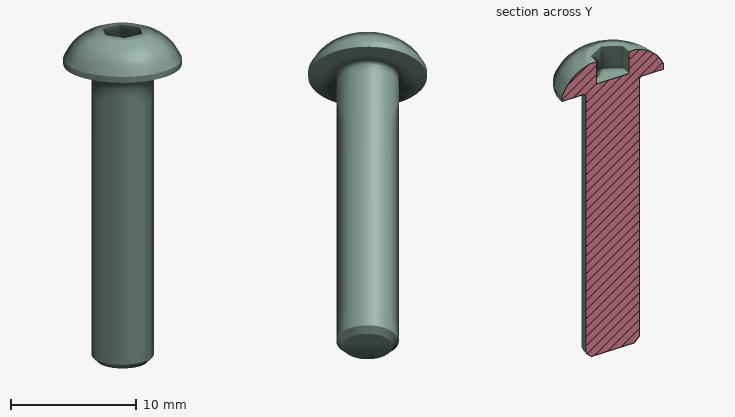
import cadquery as cq
import math

total_length = 27.75
head_height = 2.75
shank_length = total_length - head_height

head_radius = 9.5 / 2
rim_height = 0.5
crown_flat_radius = 4.33 / 2
dome_arc_radius = 3.83

shank_radius = 5.0 / 2
tip_chamfer = 0.5
neck_fillet = 0.25

socket_across_flats = 3.0
socket_depth = 2.08


def make_head():
    """Revolve the domed head with its short cylindrical rim."""
    return (
        cq.Workplane("XZ")
        .lineTo(head_radius, 0)
        .lineTo(head_radius, rim_height)
        .radiusArc((crown_flat_radius, head_height), -dome_arc_radius)
        .lineTo(0, head_height)
        .close()
        .revolve(360, (0, 0, 0), (0, 1, 0))
    )


def make_shank():
    """Make the plain shank with a chamfered tip."""
    shank = cq.Workplane("XY").circle(shank_radius).extrude(-shank_length)
    return shank.faces("<Z").chamfer(tip_chamfer)


def make_socket():
    """Make the socket cutter, with hexagon corners pointing along Y."""
    across_corners = socket_across_flats / math.cos(math.radians(30))
    return (
        cq.Workplane("XY", origin=(0, 0, head_height))
        .transformed(rotate=(0, 0, 90))
        .polygon(6, across_corners)
        .extrude(-socket_depth)
    )


screw = make_head().union(make_shank())

neck_edges = cq.selectors.BoxSelector(
    (-head_radius, -head_radius, -neck_fillet),
    (head_radius, head_radius, neck_fillet),
)
screw = screw.edges(neck_edges).edges(cq.selectors.RadiusNthSelector(0)).fillet(neck_fillet)

result = screw.cut(make_socket())